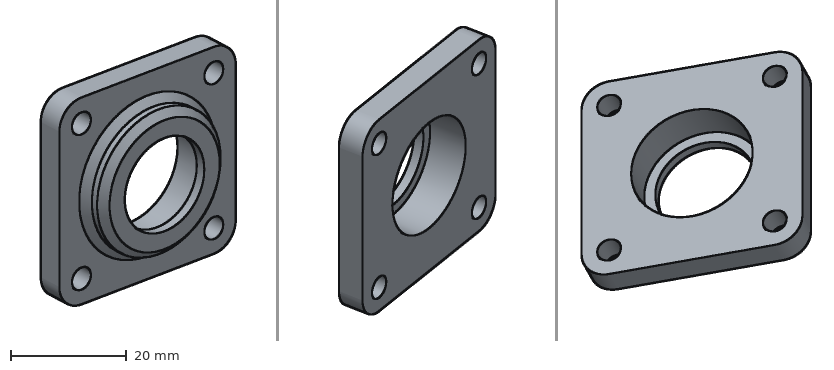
import cadquery as cq

side = 40.0
flange_thickness = 5.0
corner_radius = 5.0
hole_diameter = 4.3
hole_spacing = side - 2 * corner_radius

total_depth = 9.5
boss_radius = 14.0
foot_radius = 15.5
foot_height = 1.6
tip_chamfer = 1.5

bore_diameter = 22.0
bore_depth = 7.5
lip_diameter = 18.0


def make_flange():
    """Rounded square plate with its outer face at X = 0."""
    plate = cq.Workplane("YZ").rect(side, side).extrude(flange_thickness)
    return plate.edges("|X").fillet(corner_radius)


def make_boss():
    """Revolved boss: flared foot, short cylinder and chamfered tip."""
    foot_end = flange_thickness + foot_height
    return (
        cq.Workplane("XY")
        .lineTo(0, foot_radius)
        .lineTo(flange_thickness, foot_radius)
        .lineTo(foot_end, boss_radius)
        .lineTo(total_depth - tip_chamfer, boss_radius)
        .lineTo(total_depth, boss_radius - tip_chamfer)
        .lineTo(total_depth, 0)
        .close()
        .revolve(360, (0, 0, 0), (1, 0, 0))
    )


def make_bore():
    """Wide bore from the flange face, with a narrower opening through the lip."""
    wide = cq.Workplane("YZ").circle(bore_diameter / 2).extrude(bore_depth)
    narrow = cq.Workplane("YZ").circle(lip_diameter / 2).extrude(total_depth)
    return wide.union(narrow)


def make_bolt_holes():
    """Four through holes, one near each corner."""
    return (
        cq.Workplane("YZ")
        .rect(hole_spacing, hole_spacing, forConstruction=True)
        .vertices()
        .circle(hole_diameter / 2)
        .extrude(flange_thickness)
    )


result = make_flange().union(make_boss()).cut(make_bore()).cut(make_bolt_holes())